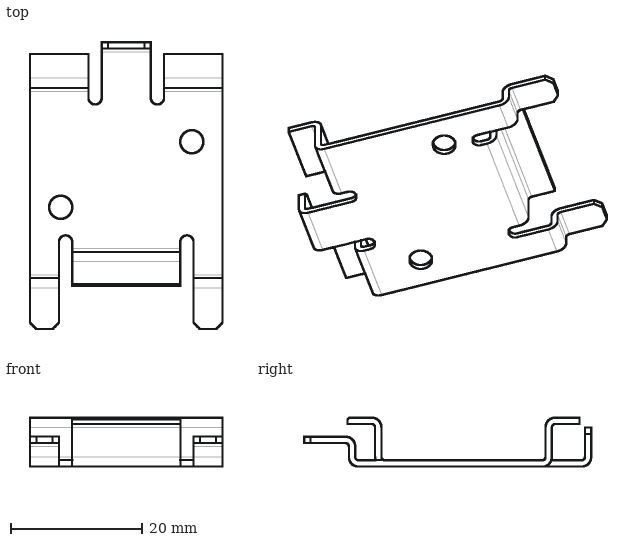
import cadquery as cq

sheet = 1.0
inner_bend = 0.5
outer_bend = inner_bend + sheet

plate_width = 29.4
slot_width = 2.0
rear_tab_width = 7.5
front_hook_width = 16.5
rear_slot_x = (rear_tab_width + slot_width) / 2
front_slot_x = (front_hook_width + slot_width) / 2
rear_hook_width = (plate_width - rear_tab_width) / 2 - slot_width
rear_hook_x = (plate_width - rear_hook_width) / 2
foot_width = (plate_width - front_hook_width) / 2 - slot_width
foot_x = (plate_width - foot_width) / 2

hook_height = 7.5
foot_height = 4.6
rear_tab_height = 6.0

length = 43.8
foot_end_y = -23.6
rear_tab_y = foot_end_y + length
foot_wall_y = -16.8
front_hook_wall_y = -12.8
front_hook_end_y = -17.0
rear_hook_wall_y = 14.2
rear_hook_end_y = 18.4

rear_slot_end_y = 10.7
front_slot_end_y = -9.3
rear_arc_y = rear_slot_end_y + slot_width / 2
front_arc_y = front_slot_end_y - slot_width / 2

hole_diameter = 3.5
hole_x = 10.0
hole_y = 5.0
corner_chamfer = 1.0
lip_chamfer = 0.3


def extrude_profile(profile, x_center, width):
    """Extrude a YZ profile along X so that it is centred on x_center."""
    return profile.extrude(width / 2, both=True).translate((x_center, 0, 0))


def upright(x_center, width, wall_y, side, height):
    """Floor strip from Y = 0 that bends up into a wall; side is +1 for the rear, -1 for the front."""
    profile = (
        cq.Workplane("YZ")
        .moveTo(0, 0)
        .lineTo(wall_y - side * outer_bend, 0)
        .radiusArc((wall_y, outer_bend), -side * outer_bend)
        .lineTo(wall_y, height)
        .lineTo(wall_y - side * sheet, height)
        .lineTo(wall_y - side * sheet, outer_bend)
        .radiusArc((wall_y - side * outer_bend, sheet), side * inner_bend)
        .lineTo(0, sheet)
        .close()
    )
    return extrude_profile(profile, x_center, width)


def step(x_center, width, wall_y, side, height, end_y):
    """Floor strip and wall with an outward flange on top, ending at end_y."""
    inside_y = wall_y - side * sheet
    flange_bend_y = wall_y + side * inner_bend
    wall_top = height - outer_bend
    flange = (
        cq.Workplane("YZ")
        .moveTo(wall_y, wall_top)
        .radiusArc((flange_bend_y, height - sheet), side * inner_bend)
        .lineTo(end_y, height - sheet)
        .lineTo(end_y, height)
        .lineTo(flange_bend_y, height)
        .radiusArc((inside_y, wall_top), -side * outer_bend)
        .close()
    )
    wall = upright(x_center, width, wall_y, side, wall_top)
    return wall.union(extrude_profile(flange, x_center, width))


def make_rear_tab():
    tab = upright(0, rear_tab_width, rear_tab_y, 1, rear_tab_height)
    top_corners = cq.selectors.BoxSelector(
        (-plate_width, rear_tab_y - sheet, rear_tab_height - sheet / 2),
        (plate_width, rear_tab_y, rear_tab_height + sheet / 2),
    )
    return tab.edges("|Y").edges(top_corners).chamfer(corner_chamfer)


def make_front_hook():
    hook = step(0, front_hook_width, front_hook_wall_y, -1, hook_height, front_hook_end_y)
    return hook.faces("<Y").edges(">Z").chamfer(lip_chamfer)


def make_foot(x_center):
    foot = step(x_center, foot_width, foot_wall_y, -1, foot_height, foot_end_y)
    return foot.faces("<Y").edges("|Z").chamfer(corner_chamfer)


def make_plate():
    """Flat floor between the arc centers of the front and rear slots."""
    center_y = (front_arc_y + rear_arc_y) / 2
    floor = cq.Workplane("XY").center(0, center_y).rect(plate_width, rear_arc_y - front_arc_y)
    return floor.extrude(sheet)


def make_slot_ends():
    """Discs that round out the closed ends of the four slots."""
    centers = [(side * rear_slot_x, rear_arc_y) for side in (-1, 1)]
    centers += [(side * front_slot_x, front_arc_y) for side in (-1, 1)]
    return cq.Workplane("XY").pushPoints(centers).circle(slot_width / 2).extrude(sheet)


def make_holes():
    centers = [(hole_x, hole_y), (-hole_x, -hole_y)]
    return cq.Workplane("XY").pushPoints(centers).circle(hole_diameter / 2).extrude(sheet)


result = make_plate().union(make_rear_tab()).union(make_front_hook())
for side in (-1, 1):
    rear_hook = step(
        side * rear_hook_x, rear_hook_width, rear_hook_wall_y, 1, hook_height, rear_hook_end_y
    )
    result = result.union(rear_hook).union(make_foot(side * foot_x))
result = result.cut(make_slot_ends()).cut(make_holes())